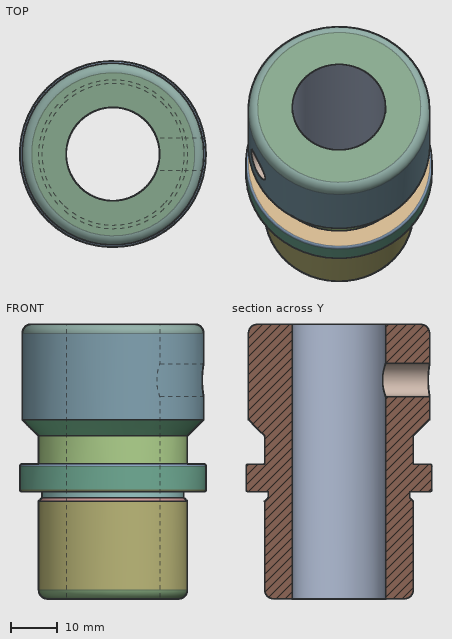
import cadquery as cq

total_height = 59.0
collar_bottom = 23.0
collar_thickness = 6.0
cone_bottom = 35.0

bore_radius = 10.0
body_radius = 16.0
collar_radius = 20.0
head_radius = 19.5

groove_height = 2.0
groove_depth = 0.75

end_fillet = 2.0
collar_fillet = 0.5

cross_hole_radius = 3.5
cross_hole_height = 47.0

cone_top = cone_bottom + head_radius - body_radius


def disc(radius, bottom, top):
    """Solid disc of the given radius between two heights."""
    return cq.Workplane("XY").workplane(offset=bottom).circle(radius).extrude(top - bottom)


def make_barrel():
    """Lower barrel with a rounded foot and a 45 degree shoulder up to the groove."""
    barrel = disc(body_radius, 0, collar_bottom - groove_height + groove_depth)
    barrel = barrel.faces("<Z").edges().fillet(end_fillet)
    return barrel.faces(">Z").edges().chamfer(groove_depth)


def make_groove_core():
    """Reduced diameter between the barrel and the collar."""
    return disc(body_radius - groove_depth, collar_bottom - groove_height, collar_bottom)


def make_collar():
    """Locating collar with both rims rounded."""
    collar = disc(collar_radius, collar_bottom, collar_bottom + collar_thickness)
    return collar.faces("<Z or >Z").edges().fillet(collar_fillet)


def make_neck():
    """Plain neck between the collar and the head."""
    return disc(body_radius, collar_bottom + collar_thickness, cone_bottom)


def make_head():
    """Head with a conical underside and a rounded top rim."""
    head = disc(head_radius, cone_bottom, total_height)
    head = head.faces("<Z").edges().chamfer(cone_top - cone_bottom)
    return head.faces(">Z").edges().fillet(end_fillet)


def make_cross_hole():
    """Cutter running from the part axis out through the +X side of the head."""
    return (
        cq.Workplane("YZ")
        .center(0, cross_hole_height)
        .circle(cross_hole_radius)
        .extrude(collar_radius)
    )


body = make_barrel()
for section in (make_groove_core(), make_collar(), make_neck(), make_head()):
    body = body.union(section)

bore = disc(bore_radius, 0, total_height)
result = body.cut(bore).cut(make_cross_hole())